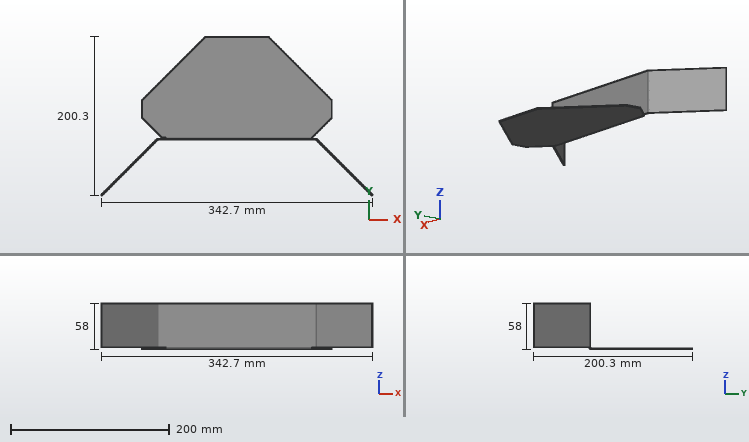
import cadquery as cq
import math

thickness = 1.5
inner_radius = 1.0
outer_radius = inner_radius + thickness

height = 58.0
wall_inner_width = 200.0
wing_angle = 45.0
wing_inner_radius = 0.5
wing_length = 100.0
wall_bottom = outer_radius

plate_width = 240.0
plate_back_width = 80.0
plate_front_half = 95.0
plate_depth = 130.0
side_length = 22.0
back_corner = (plate_width - plate_back_width) / 2
side_back_y = plate_depth - back_corner
side_front_y = side_back_y - side_length
front_corner = plate_width / 2 - plate_front_half
neck_y = side_front_y - front_corner

bend_left_x = -90.0
bend_right_x = plate_front_half


def wing_wall():
    """Wall and wings, bent about vertical axes, with the wall's front face on y = 0."""
    half_angle = math.radians(wing_angle / 2)
    along_x = math.cos(math.radians(wing_angle))
    along_y = math.sin(math.radians(wing_angle))
    back_corner_x = wall_inner_width / 2 + thickness * math.tan(half_angle)
    tip_x = back_corner_x + wing_length * along_x
    tip_y = thickness - wing_length * along_y
    front_tip = (tip_x - thickness * along_y, tip_y - thickness * along_x)
    outline = [
        (-back_corner_x, thickness),
        (back_corner_x, thickness),
        (tip_x, tip_y),
        front_tip,
        (wall_inner_width / 2, 0),
        (-wall_inner_width / 2, 0),
        (-front_tip[0], front_tip[1]),
        (-tip_x, tip_y),
    ]
    wall = (
        cq.Workplane("XY")
        .workplane(offset=wall_bottom)
        .polyline(outline)
        .close()
        .extrude(height - wall_bottom)
    )
    for side in (-1, 1):
        inner_edge = cq.selectors.NearestToPointSelector((side * wall_inner_width / 2, 0, height / 2))
        wall = wall.edges("|Z").edges(inner_edge).fillet(wing_inner_radius)
        outer_edge = cq.selectors.NearestToPointSelector((side * back_corner_x, thickness, height / 2))
        wall = wall.edges("|Z").edges(outer_edge).fillet(wing_inner_radius + thickness)
    return wall


def base_plate():
    """Flat plate with cut corners; a neck at the front runs up to the bend."""
    outline = [
        (bend_left_x, outer_radius),
        (plate_front_half, outer_radius),
        (plate_front_half, neck_y),
        (plate_width / 2, side_front_y),
        (plate_width / 2, side_back_y),
        (plate_back_width / 2, plate_depth),
        (-plate_back_width / 2, plate_depth),
        (-plate_width / 2, side_back_y),
        (-plate_width / 2, side_front_y),
        (-plate_front_half, neck_y),
        (bend_left_x, neck_y),
    ]
    return cq.Workplane("XY").polyline(outline).close().extrude(thickness)


def plate_bend():
    """Quarter-ring bend that joins the front of the plate to the bottom of the wall."""
    diagonal = math.sqrt(0.5)
    centre = outer_radius
    outer_middle = centre - outer_radius * diagonal
    inner_middle = centre - inner_radius * diagonal
    return (
        cq.Workplane("YZ")
        .workplane(offset=bend_left_x)
        .moveTo(0, centre)
        .threePointArc((outer_middle, outer_middle), (centre, 0))
        .lineTo(centre, thickness)
        .threePointArc((inner_middle, inner_middle), (thickness, centre))
        .close()
        .extrude(bend_right_x - bend_left_x)
    )


result = wing_wall().union(base_plate()).union(plate_bend())